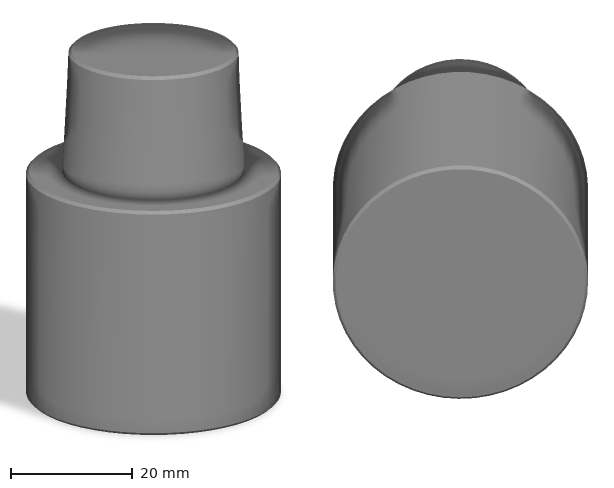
import cadquery as cq

total_height = 60.0
body_radius = 21.0
body_height = 39.0

collar_radius = 15.0
collar_height = 1.0
neck_top_radius = 14.0

edge_chamfer = 0.5

body = cq.Workplane("XY").circle(body_radius).extrude(body_height)
body = body.faces("<Z or >Z").chamfer(edge_chamfer)

collar_top = body_height + collar_height
neck_profile = (
    cq.Workplane("XZ")
    .moveTo(0, 0)
    .lineTo(collar_radius, 0)
    .lineTo(collar_radius, collar_top)
    .lineTo(neck_top_radius, total_height)
    .lineTo(0, total_height)
    .close()
)
neck = neck_profile.revolve(360, (0, 0, 0), (0, 1, 0))
neck = neck.faces(">Z").chamfer(edge_chamfer)

result = body.union(neck)